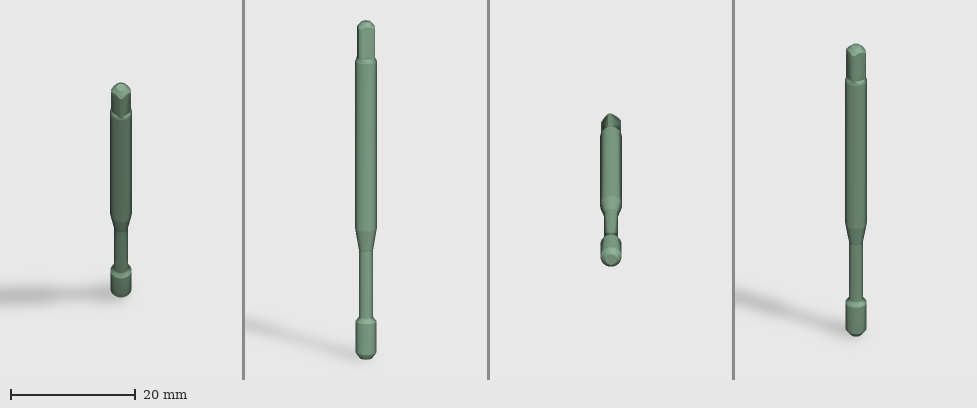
import cadquery as cq

total_length = 56.1
tip_step_z = 0.5
lead_chamfer_z = 1.0
head_shoulder_z = 6.15
head_top_z = 6.95
taper_bottom_z = 18.25
taper_top_z = 21.6
shank_chamfer_z = 49.5
tang_root_z = 49.8
edge_break = 0.15

shank_diameter = 3.5
head_diameter = 3.35
neck_diameter = 2.25
taper_small_diameter = 2.35
shoulder_top_diameter = 2.35
tip_end_diameter = 1.85
tip_step_diameter = 2.7
tang_corner_diameter = 3.25
tang_end_diameter = 1.4

tang_across_flats = 2.65
flat_root_z = 50.1
tang_end_z = total_length - (tang_corner_diameter - tang_end_diameter) / 2


def revolved(stations):
    """Solid of revolution about Z through (diameter, height) stations, lowest first."""
    outline = [(0, stations[0][1])]
    outline += [(diameter / 2, height) for diameter, height in stations]
    outline.append((0, stations[-1][1]))
    return cq.Workplane("XZ").polyline(outline).close().revolve(360, (0, 0, 0), (0, 1, 0))


def make_head():
    """Working head with a lead chamfer, a tip cone and a shoulder chamfer."""
    return revolved([
        (tip_end_diameter, 0),
        (tip_step_diameter, tip_step_z),
        (head_diameter, lead_chamfer_z),
        (head_diameter, head_shoulder_z),
        (shoulder_top_diameter, head_top_z - edge_break),
        (neck_diameter, head_top_z),
    ])


def make_tang():
    """Square bar with rounded corners, sloping flat run-outs and a conical end."""
    square = (
        cq.Workplane("XY", origin=(0, 0, flat_root_z))
        .rect(tang_across_flats, tang_across_flats)
        .extrude(total_length - flat_root_z)
    )
    run_outs = (
        cq.Workplane("XY", origin=(0, 0, tang_root_z))
        .rect(tang_corner_diameter, tang_corner_diameter)
        .workplane(offset=flat_root_z - tang_root_z)
        .rect(tang_across_flats, tang_across_flats)
        .loft(ruled=True)
    )
    envelope = revolved([
        (tang_corner_diameter, tang_root_z),
        (tang_corner_diameter, tang_end_z),
        (tang_end_diameter, total_length),
    ])
    return square.union(run_outs).intersect(envelope)


def make_shank():
    """Neck, taper and cylindrical shank, with the drive tang on top."""
    turned = revolved([
        (neck_diameter, head_top_z),
        (neck_diameter, taper_bottom_z - edge_break),
        (taper_small_diameter, taper_bottom_z),
        (shank_diameter, taper_top_z),
        (shank_diameter, shank_chamfer_z),
        (tang_corner_diameter, tang_root_z),
    ])
    return turned.union(make_tang())


head = make_head()
shank = make_shank()

result = cq.Compound.makeCompound([head.val(), shank.val()])